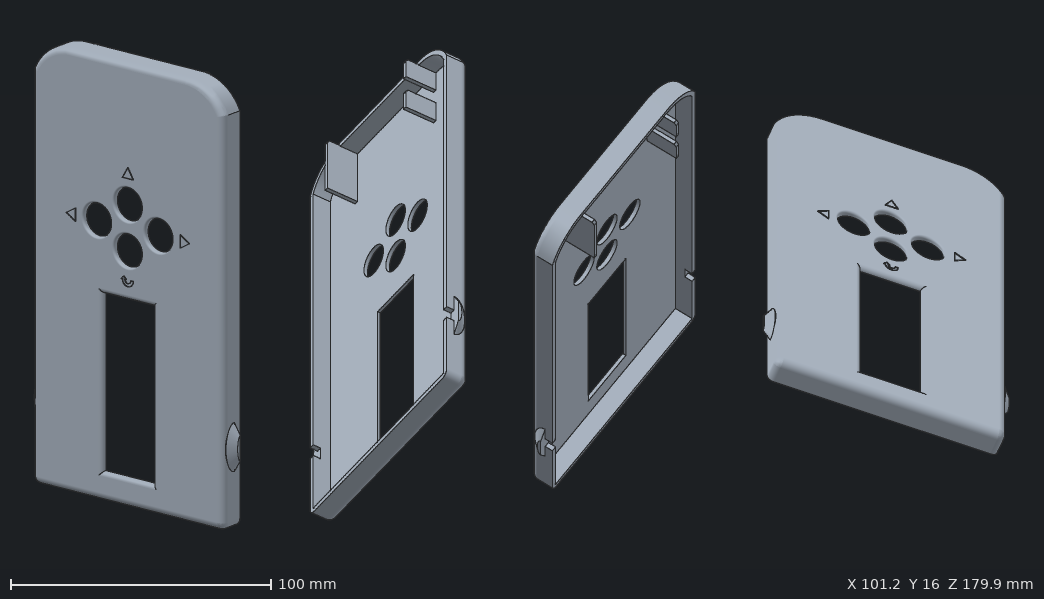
import cadquery as cq
import math

height = 179.9
width = 95.3
depth = 10.0
wall = 2.2
half_width = width / 2
front_y = -depth

top_flat_half = 28.8
shoulder_drop = 12.0
bottom_corner_radius = 2.9
front_edge_radius = 3.0

window_width = 25.0
window_height = 72.0
window_centre_z = 47.8
window_edge_radius = 2.0

pad_centre_z = 113.0
button_diameter = 13.5
button_edge_radius = 0.99
button_offset_x = 15.3
button_offset_z = 9.4

engraving_depth = 0.4
arrow_width = 5.4
arrow_height = 4.5
side_arrow_offset = 26.0
top_arrow_offset = 20.0
return_symbol_z = 92.0
return_outer_radius = 2.7
return_inner_radius = 1.5
return_head_half = 1.3

grip_centre_z = 32.7
grip_back_y = -3.5
grip_reach = 2.97
grip_root = 0.5
grip_base_length = 19.8
grip_base_depth = 5.0
grip_tip_length = 10.3
grip_tip_depth = 1.6
notch_width = 5.5

tab_x = 27.3
tab_thickness = 1.6
tab_reach = 6.0
tab_top_z = 178.0
tab_total_length = 25.4
tab_length = 9.4
tab_corner_chamfer = 1.0


def front_plane(y):
    """XZ plane at depth y, whose extrusions run toward -Y."""
    return cq.Workplane("XZ", origin=(0, y, 0))


def cover_outline(inset):
    """Closed outline with arched shoulders, moved inward by inset."""
    shoulder_run = half_width - top_flat_half
    half_angle = math.atan2(shoulder_drop, shoulder_run)
    radius = shoulder_run / math.sin(2 * half_angle)
    arc_centre_z = height - radius
    arc_radius = radius - inset
    side_x = half_width - inset
    side_z = arc_centre_z + math.sqrt(arc_radius**2 - (side_x - top_flat_half) ** 2)
    middle_angle = math.atan2(side_z - arc_centre_z, side_x - top_flat_half) / 2 + math.pi / 4
    middle_x = top_flat_half + arc_radius * math.cos(middle_angle)
    middle_z = arc_centre_z + arc_radius * math.sin(middle_angle)
    return (
        front_plane(0)
        .moveTo(-side_x, inset)
        .lineTo(side_x, inset)
        .lineTo(side_x, side_z)
        .threePointArc((middle_x, middle_z), (top_flat_half, height - inset))
        .lineTo(-top_flat_half, height - inset)
        .threePointArc((-middle_x, middle_z), (-side_x, side_z))
        .close()
    )


def make_shell():
    """Hollow cover, open at the rim, with rounded bottom corners and front edge."""
    body = cover_outline(0).extrude(depth)
    body = body.edges("|Y and <Z").fillet(bottom_corner_radius)
    body = body.faces("<Y").edges().fillet(front_edge_radius)
    cavity = cover_outline(wall).extrude(depth - wall)
    return body.cut(cavity)


def cut_window(body):
    opening = (
        front_plane(front_y + wall)
        .center(0, window_centre_z)
        .rect(window_width, window_height)
        .extrude(wall)
    )
    mouth_width = window_width + 2 * window_edge_radius
    mouth_height = window_height + 2 * window_edge_radius
    mouth = (
        front_plane(front_y + window_edge_radius)
        .center(0, window_centre_z)
        .rect(mouth_width, mouth_height)
        .extrude(window_edge_radius)
    )
    for side in (-1, 1):
        upright = (
            cq.Workplane("XY")
            .center(side * mouth_width / 2, front_y + window_edge_radius)
            .circle(window_edge_radius)
            .extrude(height)
        )
        level = (
            cq.Workplane("YZ", origin=(-half_width, 0, 0))
            .center(front_y + window_edge_radius, window_centre_z + side * mouth_height / 2)
            .circle(window_edge_radius)
            .extrude(width)
        )
        mouth = mouth.cut(upright).cut(level)
    return body.cut(opening).cut(mouth)


def cut_buttons(body):
    """Four round holes with a rounded front edge, each cut by a revolved profile."""
    radius = button_diameter / 2
    mouth_radius = radius + button_edge_radius
    straight_end_y = front_y + button_edge_radius
    round_mid = button_edge_radius * math.sqrt(0.5)
    cutter = (
        cq.Workplane("XY")
        .moveTo(0, front_y)
        .lineTo(mouth_radius, front_y)
        .threePointArc((mouth_radius - round_mid, straight_end_y - round_mid), (radius, straight_end_y))
        .lineTo(radius, front_y + wall)
        .lineTo(0, front_y + wall)
        .close()
        .revolve(360, (0, 0, 0), (0, 1, 0))
    )
    offsets = (
        (-button_offset_x, 0),
        (button_offset_x, 0),
        (0, -button_offset_z),
        (0, button_offset_z),
    )
    for x, z in offsets:
        body = body.cut(cutter.translate((x, 0, pad_centre_z + z)))
    return body


def arrow(turn, offset):
    """Triangle pointing away from the pad centre, turned from upward about Y."""
    points = [
        (-arrow_width / 2, offset),
        (arrow_width / 2, offset),
        (0, offset + arrow_height),
    ]
    upward = front_plane(front_y + engraving_depth).polyline(points).close().extrude(engraving_depth)
    return upward.rotate((0, 0, 0), (0, 1, 0), turn).translate((0, 0, pad_centre_z))


def return_symbol():
    """Lower half ring with a small arrowhead on its left end."""
    plane = front_plane(front_y + engraving_depth).center(0, return_symbol_z)
    half_ring = (
        plane.moveTo(-return_outer_radius, 0)
        .threePointArc((0, -return_outer_radius), (return_outer_radius, 0))
        .lineTo(return_inner_radius, 0)
        .threePointArc((0, -return_inner_radius), (-return_inner_radius, 0))
        .close()
        .extrude(engraving_depth)
    )
    head_x = -(return_outer_radius + return_inner_radius) / 2
    head = (
        plane.moveTo(head_x - return_head_half, 0)
        .lineTo(head_x + return_head_half, 0)
        .lineTo(head_x, return_head_half)
        .close()
        .extrude(engraving_depth)
    )
    return half_ring.union(head)


def engrave_symbols(body):
    body = body.cut(arrow(0, top_arrow_offset))
    for turn in (-90, 90):
        body = body.cut(arrow(turn, side_arrow_offset))
    return body.cut(return_symbol())


def half_ellipse(sketch, length, reach):
    """Half ellipse with its straight side along Z and its bow toward the front."""
    return sketch.ellipseArc(reach, length / 2, 90, 270, startAtCurrent=False).close()


def make_grip():
    """Tapered finger grip for the +X side, rooted a little way into the wall."""
    start = cq.Workplane("YZ", origin=(half_width - grip_root, grip_back_y, grip_centre_z))
    root = half_ellipse(start, grip_base_length, grip_base_depth).extrude(grip_root)
    base = half_ellipse(start.workplane(offset=grip_root), grip_base_length, grip_base_depth)
    tip = half_ellipse(base.workplane(offset=grip_reach), grip_tip_length, grip_tip_depth)
    return root.union(tip.loft(ruled=True))


def add_grips(body):
    grip = make_grip()
    notch_depth = -grip_back_y
    notches = cq.Workplane("XY").box(width, notch_depth, notch_width)
    notches = notches.translate((0, grip_back_y / 2, grip_centre_z))
    return body.union(grip).union(grip.mirror("YZ")).cut(notches)


def tab(x, top_z, length):
    """Plate from the front wall to behind the rim, chamfered at its upper rear corner."""
    tab_depth = depth - wall + tab_reach
    plate = cq.Workplane("XY").box(tab_thickness, tab_depth, length)
    plate = plate.edges(">Y and >Z").chamfer(tab_corner_chamfer)
    return plate.translate((x, tab_reach - tab_depth / 2, top_z - length / 2))


def add_tabs(body):
    """A split pair of tabs on the -X side and one full-length tab on the +X side."""
    lower_top_z = tab_top_z - tab_total_length + tab_length
    body = body.union(tab(-tab_x, tab_top_z, tab_length))
    body = body.union(tab(-tab_x, lower_top_z, tab_length))
    return body.union(tab(tab_x, tab_top_z, tab_total_length))


result = make_shell()
result = cut_window(result)
result = cut_buttons(result)
result = engrave_symbols(result)
result = add_grips(result)
result = add_tabs(result)